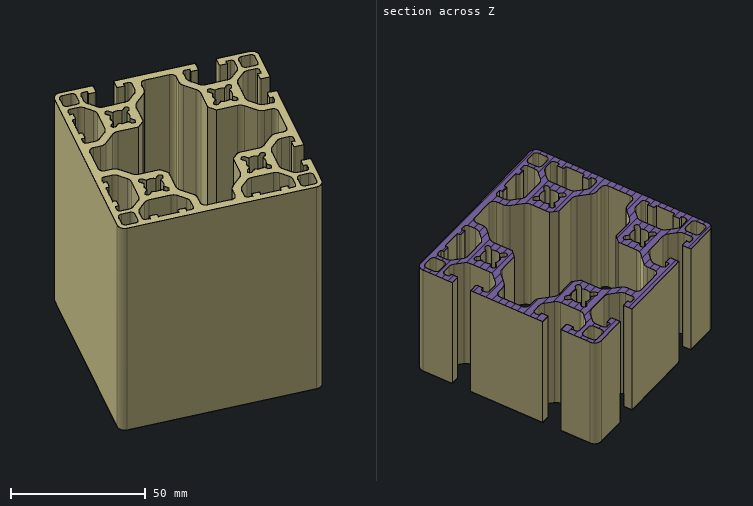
import cadquery as cq
import math

side = 80.0
length = 100.0
corner_radius = 3.0
half = side / 2

boss_offset = side / 4
boss_half = 7.4
boss_chamfer = 2.6
bore_radius = 3.7
relief_width = 2.0
relief_reach = 5.2

mouth_half = 4.0
lip_half = 7.1
lip_depth = 4.0
undercut_depth = 2.6
cavity_half = 10.0
cavity_floor = half - boss_offset - boss_half
cavity_wall_end = 8.1
undercut_radius = 1.2
lip_radius = 0.5
cavity_radius = 3.0

outer_wall = 3.2
diagonal_wall = 3.2
void_arm_half = boss_offset - cavity_half - diagonal_wall
void_corner_radius = 2.0
void_bend_radius = 3.5

corner_void_start = 1.9
corner_void_size = 6.3
corner_void_radius = 1.5


def prism(corners):
    """Full-length prism on a closed outline of (x, y, corner radius)."""
    arcs = []
    for i, (x, y, radius) in enumerate(corners):
        corner = cq.Vector(x, y)
        before = (cq.Vector(*corners[i - 1][:2]) - corner).normalized()
        after = (cq.Vector(*corners[(i + 1) % len(corners)][:2]) - corner).normalized()
        half_angle = before.getAngle(after) / 2
        setback = radius / math.tan(half_angle)
        apex_gap = radius / math.sin(half_angle) - radius
        middle = corner + (before + after).normalized() * apex_gap
        arcs.append((radius, corner + before * setback, middle, corner + after * setback))

    outline = cq.Workplane("XY").moveTo(*arcs[0][3].toTuple()[:2])
    for radius, start, middle, end in arcs[1:] + arcs[:1]:
        outline = outline.lineTo(start.x, start.y)
        if radius > 0:
            outline = outline.threePointArc((middle.x, middle.y), (end.x, end.y))
    return outline.close().extrude(length)


def slot(is_open):
    """Slot in the +Y face on the Y axis; a closed one keeps a skin over its mouth."""
    mouth_depth = 0 if is_open else undercut_depth
    diagonal_run = cavity_floor - cavity_wall_end
    right_side = [
        (mouth_half, mouth_depth, 0),
        (mouth_half, lip_depth, lip_radius),
        (lip_half, lip_depth, 0),
        (lip_half, undercut_depth, 0),
        (cavity_half, undercut_depth, undercut_radius),
        (cavity_half, cavity_wall_end, cavity_radius),
        (cavity_half - diagonal_run, cavity_floor, cavity_radius),
    ]
    left_side = [(-x, depth, radius) for x, depth, radius in reversed(right_side)]
    return prism([(x, half - depth, radius) for x, depth, radius in right_side + left_side])


def central_void():
    """Cross-shaped void with arms between the bosses and 45 degree shoulders."""
    boss_near = boss_offset - boss_half
    cavity_sum = cavity_half + cavity_wall_end
    shoulder_sum = half + boss_offset - cavity_sum - diagonal_wall * math.sqrt(2)
    lower_half = [
        (half - outer_wall, void_arm_half, void_corner_radius),
        (shoulder_sum - void_arm_half, void_arm_half, void_bend_radius),
        (shoulder_sum - boss_near, boss_near, void_bend_radius),
        (boss_near + boss_chamfer, boss_near, 0),
    ]
    quadrant = lower_half + [(y, x, radius) for x, y, radius in reversed(lower_half)]
    corners = []
    for turn in range(4):
        corners += quadrant
        quadrant = [(-y, x, radius) for x, y, radius in quadrant]
    return prism(corners)


def corner_void():
    near = half - corner_void_start
    far = near - corner_void_size
    r = corner_void_radius
    return prism([(near, near, r), (far, near, r), (far, far, r), (near, far, r)])


def boss_bore():
    """Screw bore with four round-ended diagonal reliefs."""
    bore = cq.Workplane("XY").circle(bore_radius).extrude(length)
    for angle in (45, 135):
        relief = cq.Workplane("XY").slot2D(2 * relief_reach + relief_width, relief_width, angle)
        bore = bore.union(relief.extrude(length))
    return bore


body = cq.Workplane("XY").rect(side, side).extrude(length)
body = body.edges("|Z").fillet(corner_radius)
body = body.cut(central_void())

for turn, is_open in enumerate((True, True, False, False)):
    face_cuts = [
        slot(is_open).translate((-boss_offset, 0, 0)),
        slot(is_open).translate((boss_offset, 0, 0)),
        corner_void(),
        boss_bore().translate((boss_offset, boss_offset, 0)),
    ]
    for cutter in face_cuts:
        body = body.cut(cutter.rotate((0, 0, 0), (0, 0, 1), 90 * turn))

result = body